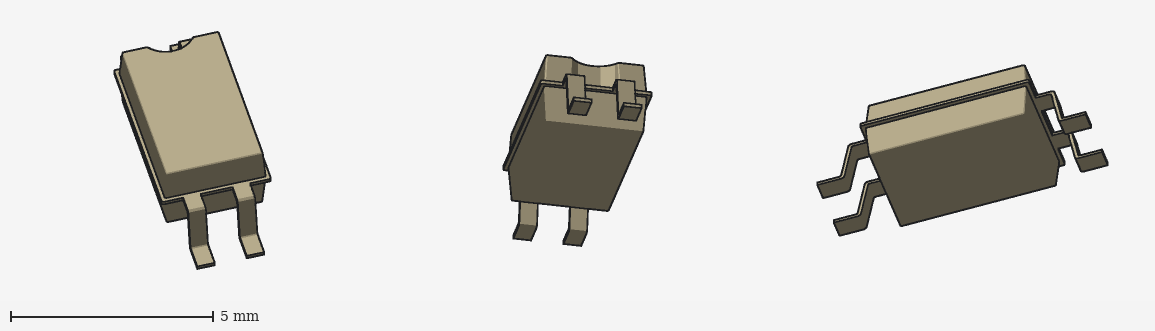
import cadquery as cq
import math

total_length = 7.0
total_height = 2.1

flange_length = 4.4
flange_width = 2.8
flange_thickness = 0.1
flange_top = 1.25
flange_corner_radius = 0.05
flange_bottom = flange_top - flange_thickness

body_length = 4.2
body_width = 2.6
body_bottom = 0.195
draft_angle = 4.0
edge_radius = 0.05

notch_radius = 0.73
notch_depth_from_end = 0.35
notch_center_x = -body_length / 2 + notch_depth_from_end - notch_radius

lead_width = 0.45
lead_pitch = 1.27
lead_thickness = flange_thickness
foot_length = 0.615
leg_lean = 10.0
inner_bend_radius = 0.05
outer_bend_radius = 0.1
lead_embed = 0.14


def body_half(base_z, height, direction):
    """Half of the body, tapering away from the flange up (+1) or down (-1)."""
    return (
        cq.Workplane("XY")
        .rect(body_length, body_width)
        .extrude(direction * height, taper=draft_angle)
        .translate((0, 0, base_z))
    )


def upper_body():
    height = total_height - flange_top
    notch = (
        cq.Workplane("XY")
        .center(notch_center_x, 0)
        .circle(notch_radius)
        .extrude(height)
        .translate((0, 0, flange_top))
    )
    body = body_half(flange_top, height, 1).cut(notch)
    return body.edges("not <Z").fillet(edge_radius)


def lower_body():
    body = body_half(flange_bottom, flange_bottom - body_bottom, -1)
    return body.edges("not >Z").fillet(edge_radius)


def flange():
    return (
        cq.Workplane("XY")
        .box(flange_length, flange_width, flange_thickness, centered=(True, True, False))
        .edges("|Z")
        .fillet(flange_corner_radius)
        .translate((0, 0, flange_bottom))
    )


def left_lead(center_y):
    """Lead on the -X end: foot, leaning leg and shoulder running into the flange."""
    lean = math.tan(math.radians(leg_lean))
    leg_run = lead_thickness / math.cos(math.radians(leg_lean))
    tip_x = -total_length / 2
    shoulder_end_x = -flange_length / 2 + lead_embed
    foot_inner_x = tip_x + foot_length

    def leg_outside_x(z):
        return foot_inner_x + (z - lead_thickness) * lean

    def leg_inside_x(z):
        return leg_outside_x(z) + leg_run

    foot_inner = (foot_inner_x, lead_thickness)
    foot_outer = (leg_inside_x(0), 0)
    shoulder_outer = (leg_outside_x(flange_top), flange_top)
    shoulder_inner = (leg_inside_x(flange_bottom), flange_bottom)
    lead = (
        cq.Workplane("XZ")
        .moveTo(tip_x, 0)
        .lineTo(*foot_outer)
        .lineTo(*shoulder_inner)
        .lineTo(shoulder_end_x, flange_bottom)
        .lineTo(shoulder_end_x, flange_top)
        .lineTo(*shoulder_outer)
        .lineTo(*foot_inner)
        .lineTo(tip_x, lead_thickness)
        .close()
        .extrude(lead_width / 2, both=True)
    )
    bends = (
        (foot_inner, inner_bend_radius),
        (shoulder_inner, inner_bend_radius),
        (foot_outer, outer_bend_radius),
        (shoulder_outer, outer_bend_radius),
    )
    for (x, z), radius in bends:
        corner = cq.selectors.NearestToPointSelector((x, 0, z))
        lead = lead.edges("|Y").edges(corner).fillet(radius)
    return lead.translate((0, center_y, 0))


result = flange().union(upper_body()).union(lower_body())
for center_y in (-lead_pitch / 2, lead_pitch / 2):
    lead = left_lead(center_y)
    result = result.union(lead).union(lead.mirror("YZ"))